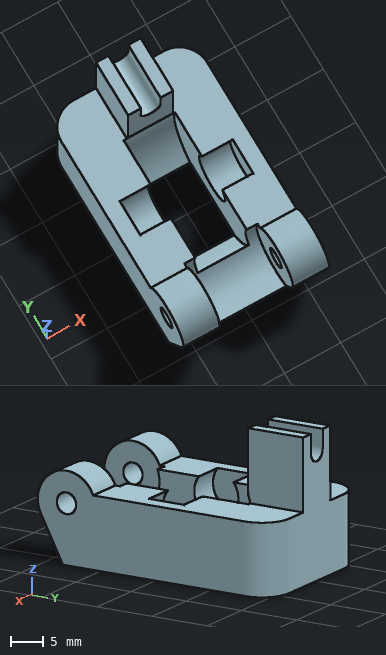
import cadquery as cq
import math

width = 26.0
length = 42.6
body_height = 12.0
corner_radius = 5.0

lug_radius = 5.25
pivot_y = lug_radius
pivot_z = 10.0
pin_diameter = 3.5
clevis_gap = 13.0
clevis_clearance_radius = 6.0
bottom_front_y = 4.55

wheel_y = 21.55
wheel_z = 9.55
wheel_radius = 11.7
window_width = 9.1
axle_radius = 4.0
axle_span = 20.1

tower_width = 8.0
tower_depth = 10.0
total_height = 24.0
slot_width = 3.5
slot_center_z = 21.0


def x_cylinder(radius, y, z, span):
    """Cylinder along X, centred on X = 0."""
    return cq.Workplane("YZ").center(y, z).circle(radius).extrude(span / 2, both=True)


def lug_tangent_point():
    """Point where the sloped front face meets the lug tangentially."""
    to_pivot_y = pivot_y - bottom_front_y
    distance = math.hypot(to_pivot_y, pivot_z)
    tangent_length = math.sqrt(distance**2 - lug_radius**2)
    angle = math.atan2(pivot_z, to_pivot_y) + math.asin(lug_radius / distance)
    return (
        bottom_front_y + tangent_length * math.cos(angle),
        tangent_length * math.sin(angle),
    )


def make_body():
    lug_back_y = pivot_y + math.sqrt(lug_radius**2 - (body_height - pivot_z) ** 2)
    body = (
        cq.Workplane("YZ")
        .moveTo(bottom_front_y, 0)
        .lineTo(length, 0)
        .lineTo(length, body_height)
        .lineTo(lug_back_y, body_height)
        .threePointArc((pivot_y, pivot_z + lug_radius), lug_tangent_point())
        .close()
        .extrude(width / 2, both=True)
    )
    return body.edges("|Z and >Y").fillet(corner_radius)


def make_tower():
    tower = cq.Workplane("XY").box(
        tower_width, tower_depth, total_height, centered=(True, False, False)
    ).translate((0, length - tower_depth, 0))
    slot = (
        cq.Workplane("XZ")
        .moveTo(-slot_width / 2, total_height)
        .lineTo(-slot_width / 2, slot_center_z)
        .threePointArc((0, slot_center_z - slot_width / 2), (slot_width / 2, slot_center_z))
        .lineTo(slot_width / 2, total_height)
        .close()
        .extrude(-length)
    )
    return tower.cut(slot)


result = make_body().union(make_tower())
result = result.cut(x_cylinder(clevis_clearance_radius, pivot_y, pivot_z, clevis_gap))
result = result.cut(x_cylinder(wheel_radius, wheel_y, wheel_z, window_width))
result = result.cut(x_cylinder(axle_radius, wheel_y, wheel_z, axle_span))
result = result.cut(x_cylinder(pin_diameter / 2, pivot_y, pivot_z, width))